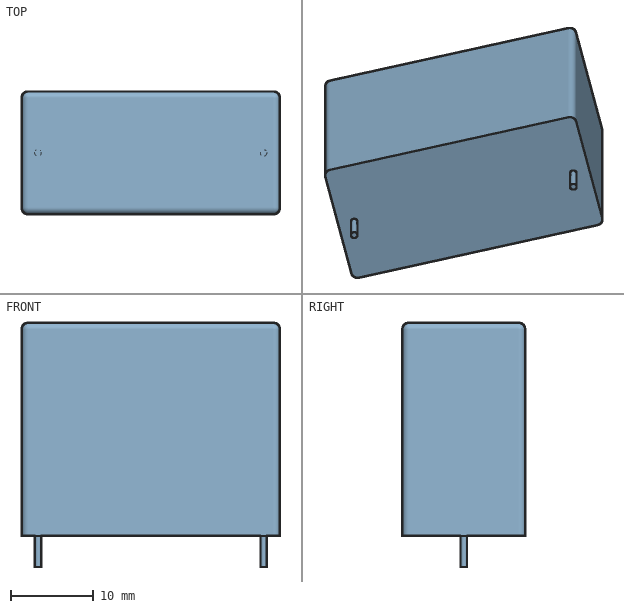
import cadquery as cq

case_length = 31.5
case_width = 15.0
case_height = 26.0
edge_radius = 0.8

lead_diameter = 0.8
lead_pitch = 27.5
lead_length = 3.8


def make_case():
    """Block standing on Z = 0, rounded everywhere except around its base."""
    block = cq.Workplane("XY").box(case_length, case_width, case_height, centered=(True, True, False))
    return block.edges("|Z or >Z").fillet(edge_radius)


def make_lead(x):
    """Straight wire hanging from the case underside at the given X."""
    return cq.Workplane("XY").center(x, 0).circle(lead_diameter / 2).extrude(-lead_length)


case = make_case()
leads = [make_lead(side * lead_pitch / 2) for side in (-1, 1)]

result = cq.Compound.makeCompound([case.val(), *[lead.val() for lead in leads]])